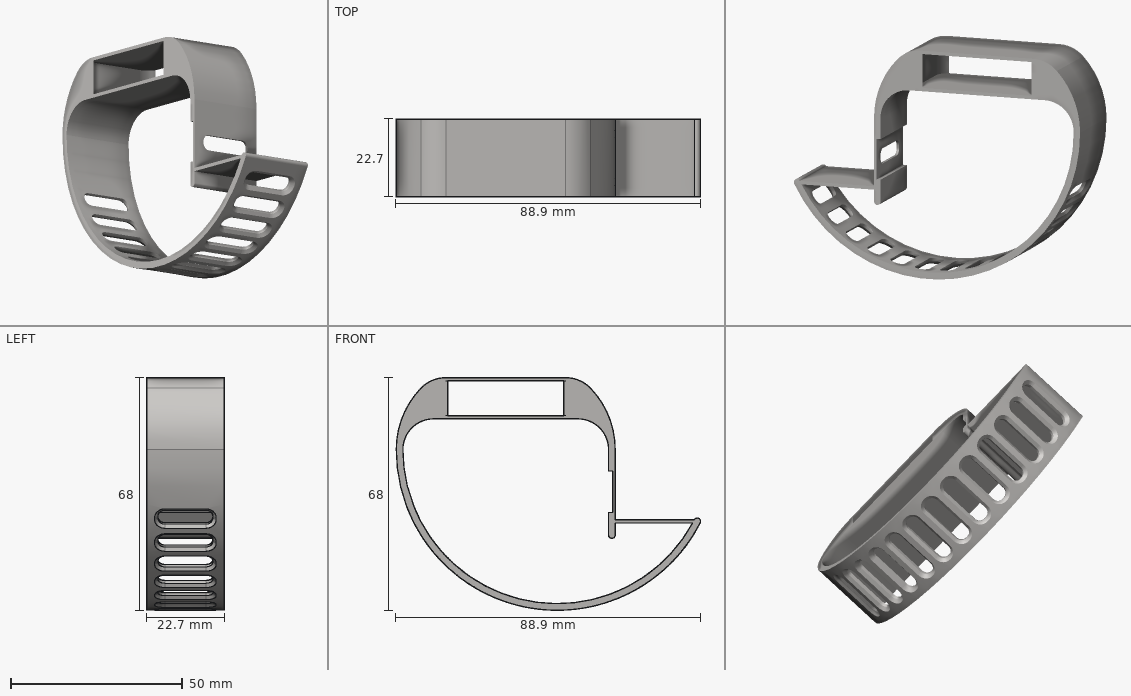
import cadquery as cq
import math


BAND_WIDTH = 22.7
BAND_THICKNESS = 2.0
STRAP_OUTER_RADIUS = 47.0
STRAP_INNER_RADIUS = STRAP_OUTER_RADIUS - BAND_THICKNESS
STRAP_MID_RADIUS = STRAP_OUTER_RADIUS - BAND_THICKNESS / 2
END_RADIUS = BAND_THICKNESS / 2

CASE_HALF_WIDTH = 32.0
CASE_INNER_HALF_WIDTH = CASE_HALF_WIDTH - BAND_THICKNESS
CASE_THICKNESS = 12.1
SHOULDER_RADIUS = 25.8
TOP_BLEND_RADIUS = 10.15
CASE_WALL = 1.0
POCKET_LENGTH = 39.0
POCKET_WIDTH = 23.2
POCKET_CORNER_RADIUS = 4.0
POCKET_HEIGHT = CASE_THICKNESS - 2 * CASE_WALL

SPRING_Z = -21.0
CORNER_RADIUS = -SPRING_Z - CASE_THICKNESS
STRAP_CENTRE_X = STRAP_OUTER_RADIUS - CASE_HALF_WIDTH

TAB_BOTTOM_Z = -47.0
TAB_RECESS_TOP_Z = -27.3
TAB_RECESS_HEIGHT = 12.1
TAB_RECESS_DEPTH = 1.2
TAB_RECESS_Z = TAB_RECESS_TOP_Z - TAB_RECESS_HEIGHT / 2

SHELF_Z = -42.0
SHELF_THICKNESS = 1.0
TIP_ANGLE = math.asin((SHELF_Z - SPRING_Z) / STRAP_MID_RADIUS)
TIP_X = STRAP_CENTRE_X + STRAP_MID_RADIUS * math.cos(TIP_ANGLE)

SLOT_LENGTH = 16.0
SLOT_WIDTH = 4.5
SLOT_END_RADIUS = 2.0
SLOT_FLARE = 1.0
SLOT_FLARE_ANGLE = 45.0
SLOT_CLEARANCE = 0.5
SLOT_PITCH_ANGLE = 9.92
FIRST_SLOT_ANGLE = 25.5
SLOT_COUNT = 13


def strap_point(radius, angle):
    """Point (X, Z) at an angle in radians around the strap centre."""
    x = STRAP_CENTRE_X + radius * math.cos(angle)
    z = SPRING_Z + radius * math.sin(angle)
    return x, z


def band_plate(profile):
    """Extrude a closed XZ profile over the full width of the band."""
    return profile.extrude(BAND_WIDTH / 2, both=True)


def make_case_and_strap():
    """Case, tab and curved strap as one outline ending in two rounded tips."""
    shoulder_x = CASE_HALF_WIDTH - SHOULDER_RADIUS
    centre_gap = SHOULDER_RADIUS - TOP_BLEND_RADIUS
    blend_rise = -TOP_BLEND_RADIUS - SPRING_Z
    blend_angle = math.asin(blend_rise / centre_gap)
    blend_x = shoulder_x + centre_gap * math.cos(blend_angle)

    def shoulder_point(angle):
        x = shoulder_x + SHOULDER_RADIUS * math.cos(angle)
        z = SPRING_Z + SHOULDER_RADIUS * math.sin(angle)
        return x, z

    def blend_point(angle):
        x = blend_x + TOP_BLEND_RADIUS * math.cos(angle)
        z = -TOP_BLEND_RADIUS + TOP_BLEND_RADIUS * math.sin(angle)
        return x, z

    def mirrored(point):
        return -point[0], point[1]

    shoulder_mid = shoulder_point(blend_angle / 2)
    shoulder_end = shoulder_point(blend_angle)
    blend_mid = blend_point((blend_angle + math.pi / 2) / 2)

    corner_x = CASE_INNER_HALF_WIDTH - CORNER_RADIUS
    corner_reach = CORNER_RADIUS * math.sqrt(0.5)
    corner_mid = (corner_x + corner_reach, SPRING_Z + corner_reach)

    strap_mid_angle = (TIP_ANGLE - math.pi) / 2
    tip_end = (
        TIP_X - END_RADIUS * math.sin(TIP_ANGLE),
        SHELF_Z + END_RADIUS * math.cos(TIP_ANGLE),
    )
    tab_mid_x = CASE_HALF_WIDTH - BAND_THICKNESS / 2
    tab_round_z = TAB_BOTTOM_Z + END_RADIUS

    outline = (
        cq.Workplane("XZ")
        .moveTo(-blend_x, 0)
        .lineTo(blend_x, 0)
        .threePointArc(blend_mid, shoulder_end)
        .threePointArc(shoulder_mid, (CASE_HALF_WIDTH, SPRING_Z))
        .lineTo(CASE_HALF_WIDTH, tab_round_z)
        .threePointArc((tab_mid_x, TAB_BOTTOM_Z), (CASE_INNER_HALF_WIDTH, tab_round_z))
        .lineTo(CASE_INNER_HALF_WIDTH, SPRING_Z)
        .threePointArc(corner_mid, (corner_x, -CASE_THICKNESS))
        .lineTo(-corner_x, -CASE_THICKNESS)
        .threePointArc(mirrored(corner_mid), (-CASE_INNER_HALF_WIDTH, SPRING_Z))
        .threePointArc(
            strap_point(STRAP_INNER_RADIUS, strap_mid_angle),
            strap_point(STRAP_INNER_RADIUS, TIP_ANGLE),
        )
        .threePointArc(tip_end, strap_point(STRAP_OUTER_RADIUS, TIP_ANGLE))
        .threePointArc(
            strap_point(STRAP_OUTER_RADIUS, strap_mid_angle),
            (-CASE_HALF_WIDTH, SPRING_Z),
        )
        .threePointArc(mirrored(shoulder_mid), mirrored(shoulder_end))
        .threePointArc(mirrored(blend_mid), (-blend_x, 0))
        .close()
    )
    return band_plate(outline)


def make_shelf():
    """Thin level plate from the middle of the tab to the middle of the strap tip."""
    start_x = CASE_HALF_WIDTH - BAND_THICKNESS / 2
    length = TIP_X - start_x
    profile = (
        cq.Workplane("XZ")
        .center(start_x + length / 2, SHELF_Z)
        .rect(length, SHELF_THICKNESS)
    )
    return band_plate(profile)


def make_pocket():
    """Round-cornered pocket, slightly wider than the band, so it opens at both band faces."""
    return (
        cq.Workplane("XY", origin=(0, 0, -CASE_THICKNESS / 2))
        .box(POCKET_LENGTH, POCKET_WIDTH, POCKET_HEIGHT)
        .edges("|Z")
        .fillet(POCKET_CORNER_RADIUS)
    )


def make_tab_recess():
    """Shallow full-width recess in the inner face of the tab."""
    profile = (
        cq.Workplane("XZ")
        .center(CASE_INNER_HALF_WIDTH, TAB_RECESS_Z)
        .rect(2 * TAB_RECESS_DEPTH, TAB_RECESS_HEIGHT)
    )
    return band_plate(profile)


def slot_prism(origin, outward, depth, flare_angle=0):
    """Round-cornered slot, long along Y, cut outward and widening by the flare angle."""
    plane = cq.Plane(origin=origin, xDir=(0, 1, 0), normal=outward)
    outline = cq.Sketch().rect(SLOT_LENGTH, SLOT_WIDTH).vertices().fillet(SLOT_END_RADIUS)
    return cq.Workplane(plane).placeSketch(outline).extrude(depth, taper=-flare_angle)


def make_tab_slot():
    """Straight slot through the thin wall behind the tab recess."""
    origin = (CASE_INNER_HALF_WIDTH, 0, TAB_RECESS_Z)
    return slot_prism(origin, (1, 0, 0), BAND_THICKNESS + SLOT_CLEARANCE)


def make_strap_slot(angle):
    """Radial slot through the strap, flared at its outer end; the angle is in radians."""
    outward = (math.cos(angle), 0, math.sin(angle))
    inner_radius = STRAP_INNER_RADIUS - SLOT_CLEARANCE
    flare_radius = STRAP_OUTER_RADIUS - SLOT_FLARE
    inner_x, inner_z = strap_point(inner_radius, angle)
    flare_x, flare_z = strap_point(flare_radius, angle)
    straight = slot_prism((inner_x, 0, inner_z), outward, flare_radius - inner_radius)
    flare_depth = SLOT_FLARE + SLOT_CLEARANCE
    flare = slot_prism((flare_x, 0, flare_z), outward, flare_depth, SLOT_FLARE_ANGLE)
    return straight.union(flare)


result = make_case_and_strap().union(make_shelf())
result = result.cut(make_pocket())
result = result.cut(make_tab_recess())
result = result.cut(make_tab_slot())
for index in range(SLOT_COUNT):
    slot_angle = math.radians(FIRST_SLOT_ANGLE + index * SLOT_PITCH_ANGLE)
    result = result.cut(make_strap_slot(slot_angle - math.pi))